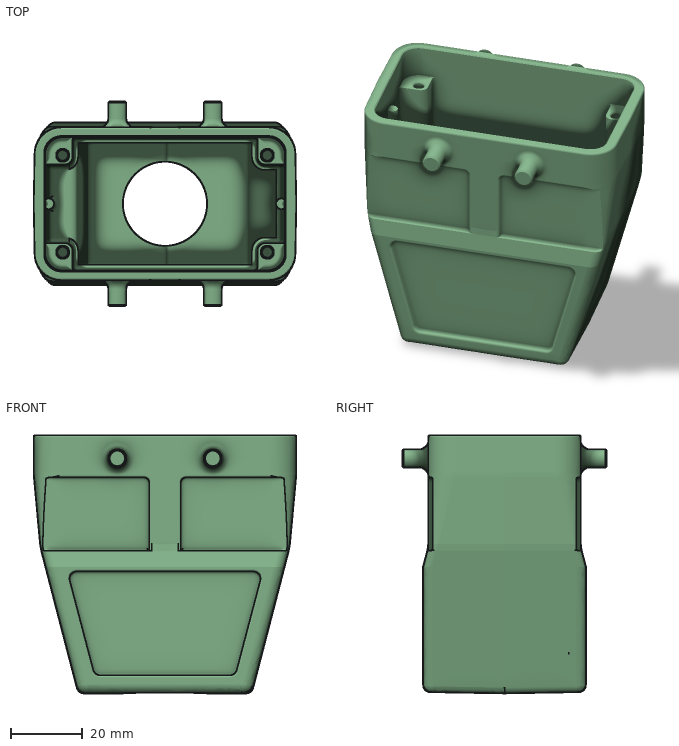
import cadquery as cq
import math

HEIGHT = 72.0
HALF_LENGTH = 36.6
RIM_HALF_WIDTH = 21.25
BODY_HALF_WIDTH = 22.7
SHOULDER_HALF_LENGTH = 34.75
BOTTOM_HALF_LENGTH = 24.15
BAND_Z = 61.0
SHOULDER_Z = 40.8
SLOPE_FOOT_Z = 35.3
RIM_CORNER_R = 7.4
BODY_CORNER_R = 2.6
DRAFT = math.tan(math.radians(1.0))
SHOULDER_BEVEL = 0.9
BAND_BEVEL = 0.5
RIM_EDGE_R = 0.6
BOTTOM_EDGE_R = 2.2

RIM_WALL = 2.7
MOUTH_HALF_LENGTH = 33.4
MOUTH_HALF_WIDTH = 18.6
MOUTH_CORNER_R = RIM_CORNER_R - RIM_WALL
MOUTH_CHAMFER = 0.3
LEDGE_Z = 40.0
LEDGE_HALF_LENGTH = 32.1
FLOOR_HALF_WIDTH = 17.8
FLOOR_CORNER_R = 1.5
LOW_FLOOR_Z = 3.0
HIGH_FLOOR_Z = 6.0
THICK_WALL_TOP_X = -24.6
THICK_WALL_FLOOR_X = -21.4
SLANT_WALL_FLOOR_X = 22.9
FLOOR_STEP_X = 0.45
FLOOR_STEP_RUN = 0.4
FLOOR_FILLET = 1.3
LEDGE_ROUND = 2.0
LEDGE_FILLET = 1.2
BORE_R = 11.7

POST_TOP_Z = 62.8
POST_INNER_X = 25.8
POST_INNER_Y = 11.0
POST_CORNER_R = 2.0
POST_ROOT_R = 0.8
POST_TAPER = 1.0
SCREW_X = 28.5
SCREW_Y = 13.5
SCREW_R = 1.5
SCREW_COUNTERSINK_R = 1.85
SCREW_DEPTH = 15.0
GUIDE_X = 32.4
GUIDE_R = 1.5

PEG_X = 13.3
PEG_Z = 65.5
PEG_R = 2.55
PEG_END_Y = 28.5
PEG_CHAMFER = 0.4
PEG_FOOT_R = 1.45
PEG_CONE_INNER_R = 3.2
PEG_CONE_WIDTH = 0.43
PEG_EMBED = 1.0

PANEL_FLOOR_Y = 20.0
PANEL_INNER_X = 4.4
PANEL_TOP_Z = 60.2
PANEL_BOTTOM_Z = 39.8
PANEL_CORNER_R = 1.5
PANEL_EDGE_R = 0.6
LABEL_DEPTH = 1.4
LABEL_EDGE_R = 0.65
LABEL_TOP_Z = 34.0
LABEL_BOTTOM_Z = 5.1
LABEL_TOP_HALF = 27.2
LABEL_BOTTOM_HALF = 19.6
LABEL_CORNER_R = 2.0
MOUTH_SLAB = 3.0
EDGE_MARGIN = 1.1

SIDES = (-1, 1)
TOLERANCE = 0.01


def rounded_section(z, half_length, half_width, corner_r, draft):
    """Closed wire at height z: rounded rectangle whose X ends peak at Y = 0."""
    tangent_y = half_width - corner_r
    end_x = half_length - draft * tangent_y
    flat_x = end_x - corner_r
    mid = corner_r * math.sqrt(0.5)
    mid_x = flat_x + mid
    mid_y = tangent_y + mid
    return (
        cq.Workplane("XY", origin=(0, 0, z))
        .moveTo(half_length, 0)
        .lineTo(end_x, tangent_y)
        .threePointArc((mid_x, mid_y), (flat_x, half_width))
        .lineTo(-flat_x, half_width)
        .threePointArc((-mid_x, mid_y), (-end_x, tangent_y))
        .lineTo(-half_length, 0)
        .lineTo(-end_x, -tangent_y)
        .threePointArc((-mid_x, -mid_y), (-flat_x, -half_width))
        .lineTo(flat_x, -half_width)
        .threePointArc((mid_x, -mid_y), (end_x, -tangent_y))
        .close()
        .wires()
        .val()
    )


def loft(sections):
    return cq.Workplane("XY").newObject([cq.Solid.makeLoft(sections, True)])


def station_between(start, end, z):
    """Body station (z, half length, half width, corner radius) at height z between two others."""
    share = (z - start[0]) / (end[0] - start[0])
    return tuple(a + share * (b - a) for a, b in zip(start, end))


def outer_body():
    slope = (SHOULDER_HALF_LENGTH - BOTTOM_HALF_LENGTH) / SHOULDER_Z
    foot_half_length = BOTTOM_HALF_LENGTH + slope * SLOPE_FOOT_Z
    bottom = (0, BOTTOM_HALF_LENGTH, BODY_HALF_WIDTH, BODY_CORNER_R)
    foot = (SLOPE_FOOT_Z, foot_half_length, BODY_HALF_WIDTH, BODY_CORNER_R)
    shoulder = (SHOULDER_Z, SHOULDER_HALF_LENGTH, RIM_HALF_WIDTH, BODY_CORNER_R)
    band = (BAND_Z, HALF_LENGTH, RIM_HALF_WIDTH, RIM_CORNER_R)
    rim = (HEIGHT, HALF_LENGTH, RIM_HALF_WIDTH, RIM_CORNER_R)
    stations = [
        bottom,
        foot,
        station_between(foot, shoulder, SHOULDER_Z - SHOULDER_BEVEL),
        station_between(shoulder, band, SHOULDER_Z + SHOULDER_BEVEL),
        station_between(shoulder, band, BAND_Z - BAND_BEVEL),
        station_between(band, rim, BAND_Z + BAND_BEVEL),
        rim,
    ]
    body = loft([rounded_section(*station, DRAFT) for station in stations])
    rise = DRAFT * BODY_HALF_WIDTH
    for side in SIDES:
        wedge = (
            cq.Workplane("YZ", origin=(-HALF_LENGTH, 0, 0))
            .polyline([(0, 0), (side * BODY_HALF_WIDTH, rise), (side * BODY_HALF_WIDTH, 0)])
            .close()
            .extrude(2 * HALF_LENGTH)
        )
        body = body.cut(wedge)
    outline = body.edges().filter(
        lambda edge: edge.Center().z < 2 * rise and abs(edge.Center().y) > BODY_CORNER_R
    )
    body = outline.fillet(BOTTOM_EDGE_R)
    return body.faces(">Z").edges().fillet(RIM_EDGE_R)


def cavity_half_width(z):
    """Half width of the cavity; the long walls lean in evenly from mouth to floor."""
    slope = (MOUTH_HALF_WIDTH - FLOOR_HALF_WIDTH) / (HEIGHT - LOW_FLOOR_Z)
    return FLOOR_HALF_WIDTH + slope * (z - LOW_FLOOR_Z)


def lower_cavity():
    """Space below the ledge: thick -X wall, slanted +X wall and a stepped floor."""
    ledge_half_width = cavity_half_width(LEDGE_Z)
    lean = math.atan2(THICK_WALL_FLOOR_X - THICK_WALL_TOP_X, LEDGE_Z - LOW_FLOOR_Z)
    turn = math.pi / 2 - lean
    round_x = THICK_WALL_TOP_X - LEDGE_ROUND

    def on_round(angle):
        return (
            round_x + LEDGE_ROUND * math.sin(angle),
            LEDGE_Z - LEDGE_ROUND * (1 - math.cos(angle)),
        )

    profile = (
        cq.Workplane("XZ", origin=(0, ledge_half_width, 0))
        .moveTo(round_x, LEDGE_Z)
        .threePointArc(on_round(turn / 2), on_round(turn))
        .lineTo(THICK_WALL_FLOOR_X, LOW_FLOOR_Z)
        .lineTo(FLOOR_STEP_X - FLOOR_STEP_RUN, LOW_FLOOR_Z)
        .lineTo(FLOOR_STEP_X + FLOOR_STEP_RUN, HIGH_FLOOR_Z)
        .lineTo(SLANT_WALL_FLOOR_X, HIGH_FLOOR_Z)
        .lineTo(LEDGE_HALF_LENGTH, LEDGE_Z)
        .close()
        .extrude(2 * ledge_half_width)
    )
    draft_block = (
        cq.Workplane("YZ", origin=(-HALF_LENGTH, 0, 0))
        .polyline([
            (-FLOOR_HALF_WIDTH, LOW_FLOOR_Z),
            (FLOOR_HALF_WIDTH, LOW_FLOOR_Z),
            (ledge_half_width, LEDGE_Z),
            (-ledge_half_width, LEDGE_Z),
        ])
        .close()
        .extrude(2 * HALF_LENGTH)
    )
    space = profile.intersect(draft_block)
    upright = space.edges().filter(
        lambda edge: edge.BoundingBox().zlen > (LEDGE_Z - HIGH_FLOOR_Z) / 2
    )
    space = upright.fillet(FLOOR_CORNER_R)
    return space.edges().filter(
        lambda edge: edge.Center().z < HIGH_FLOOR_Z + 1
        and edge.BoundingBox().zlen < HIGH_FLOOR_Z - LOW_FLOOR_Z + 1
    ).fillet(FLOOR_FILLET)


def upper_cavity():
    levels = [
        (LEDGE_Z, LEDGE_HALF_LENGTH, FLOOR_CORNER_R),
        (BAND_Z, MOUTH_HALF_LENGTH, MOUTH_CORNER_R),
        (HEIGHT, MOUTH_HALF_LENGTH, MOUTH_CORNER_R),
    ]
    return loft([
        rounded_section(z, half_length, cavity_half_width(z), corner_r, 0)
        for z, half_length, corner_r in levels
    ])


def posts():
    """Four corner posts, growing slightly towards the floor."""
    size_x = HALF_LENGTH - POST_INNER_X
    size_y = BODY_HALF_WIDTH - POST_INNER_Y
    post = (
        cq.Workplane("XY", origin=(POST_INNER_X + size_x / 2, POST_INNER_Y + size_y / 2, POST_TOP_Z))
        .sketch()
        .rect(size_x, size_y)
        .vertices()
        .fillet(POST_CORNER_R)
        .finalize()
        .extrude(-POST_TOP_Z, taper=-POST_TAPER)
    )
    half = post.union(post.mirror("YZ"))
    return half.union(half.mirror("XZ"))


def guides():
    centres = [(side * GUIDE_X, 0) for side in SIDES]
    return cq.Workplane("XY").pushPoints(centres).circle(GUIDE_R).extrude(POST_TOP_Z)


def cavity():
    space = upper_cavity().cut(posts()).cut(guides())

    def is_root(edge):
        centre = edge.Center()
        on_end_wall = abs(centre.x) > LEDGE_HALF_LENGTH and POST_CORNER_R < abs(centre.y) < POST_INNER_Y
        on_long_wall = abs(centre.x) < POST_INNER_X and abs(centre.y) > cavity_half_width(LEDGE_Z)
        return edge.BoundingBox().zlen > (BAND_Z - LEDGE_Z) / 2 and (on_end_wall or on_long_wall)

    def is_ledge_foot(edge):
        centre = edge.Center()
        at_ledge = abs(centre.z - LEDGE_Z) < TOLERANCE
        return at_ledge and centre.x < 0 and abs(centre.y) < POST_INNER_Y + POST_CORNER_R

    roots = space.edges().filter(is_root)
    space = roots.fillet(POST_ROOT_R)
    ledge = space.edges().filter(is_ledge_foot)
    space = ledge.fillet(LEDGE_FILLET)
    return space.union(lower_cavity())


def screw_holes():
    centres = [(sx * SCREW_X, sy * SCREW_Y) for sx in SIDES for sy in SIDES]
    depth = SCREW_COUNTERSINK_R - SCREW_R
    top = cq.Workplane("XY", origin=(0, 0, POST_TOP_Z))
    holes = top.pushPoints(centres).circle(SCREW_R).extrude(-SCREW_DEPTH)
    for x, y in centres:
        sink = cq.Solid.makeCone(
            SCREW_R, SCREW_COUNTERSINK_R, depth, pnt=cq.Vector(x, y, POST_TOP_Z - depth)
        )
        holes = holes.union(cq.Workplane("XY").add(sink))
    return holes


def peg(x):
    """Front locking peg with a flared root, revolved about its own axis."""
    root_y = RIM_HALF_WIDTH
    cone_outer_r = PEG_CONE_INNER_R + PEG_CONE_WIDTH
    foot_rise = PEG_FOOT_R * (1 - math.sqrt(0.5))
    foot_r = cone_outer_r + PEG_FOOT_R * math.sqrt(0.5)
    neck_r = (PEG_CONE_INNER_R - PEG_R) / (1 - math.sqrt(0.5))
    cone_start = root_y + foot_rise
    cone_end = cone_start + PEG_CONE_WIDTH
    neck_end = cone_end + neck_r * math.sqrt(0.5)
    half_turn = math.radians(22.5)
    foot_mid = (
        foot_r - PEG_FOOT_R * math.sin(half_turn),
        -root_y - PEG_FOOT_R * (1 - math.cos(half_turn)),
    )
    neck_mid = (
        PEG_R + neck_r * (1 - math.cos(half_turn)),
        neck_r * math.sin(half_turn) - neck_end,
    )
    return (
        cq.Workplane("XY", origin=(x, 0, PEG_Z))
        .moveTo(0, PEG_EMBED - root_y)
        .lineTo(foot_r, PEG_EMBED - root_y)
        .lineTo(foot_r, -root_y)
        .threePointArc(foot_mid, (cone_outer_r, -cone_start))
        .lineTo(PEG_CONE_INNER_R, -cone_end)
        .threePointArc(neck_mid, (PEG_R, -neck_end))
        .lineTo(PEG_R, PEG_CHAMFER - PEG_END_Y)
        .lineTo(PEG_R - PEG_CHAMFER, -PEG_END_Y)
        .lineTo(0, -PEG_END_Y)
        .close()
        .revolve(360, (0, 0, 0), (0, 1, 0))
    )


def rounded_cutter(recess, face_y, x_range, z_range, edge_r):
    """Round the floor and rim edges of a front recess.

    The rim is rounded by joining the recess to a slab that lies in front of the face at
    -face_y, covering x_range by z_range, and filleting the inside edge between the two.
    """
    x_min, x_max = x_range
    z_min, z_max = z_range
    slab = (
        cq.Workplane("XZ", origin=((x_min + x_max) / 2, -face_y, (z_min + z_max) / 2))
        .rect(x_max - x_min, z_max - z_min)
        .extrude(MOUTH_SLAB)
    )

    def inside(edge):
        centre = edge.Center()
        return (
            x_min + TOLERANCE < centre.x < x_max - TOLERANCE
            and z_min + TOLERANCE < centre.z < z_max - TOLERANCE
        )

    floor = recess.faces(">Y").edges().filter(lambda edge: edge.Center().x < x_max - TOLERANCE)
    recess = floor.fillet(edge_r)
    cutter = recess.union(slab)
    rim = cutter.edges().filter(lambda edge: abs(edge.Center().y + face_y) < TOLERANCE and inside(edge))
    return rim.fillet(edge_r)


def upper_panel():
    """Cutter for the front recess on the +X side, open at the corner of the body."""
    open_end_x = HALF_LENGTH + 1
    recess = (
        cq.Workplane("XZ", origin=(0, -PANEL_FLOOR_Y, 0))
        .moveTo(PANEL_INNER_X, PANEL_BOTTOM_Z)
        .lineTo(open_end_x, PANEL_BOTTOM_Z)
        .lineTo(open_end_x, PANEL_TOP_Z)
        .lineTo(PANEL_INNER_X, PANEL_TOP_Z)
        .close()
        .extrude(RIM_HALF_WIDTH - PANEL_FLOOR_Y + MOUTH_SLAB)
    )
    recess = recess.edges("|Y and <X and >Z").fillet(PANEL_CORNER_R)
    x_range = (PANEL_INNER_X - EDGE_MARGIN * PANEL_EDGE_R, open_end_x)
    z_range = (PANEL_BOTTOM_Z, PANEL_TOP_Z + EDGE_MARGIN * PANEL_EDGE_R)
    return rounded_cutter(recess, RIM_HALF_WIDTH, x_range, z_range, PANEL_EDGE_R)


def label_panel():
    """Cutter for the trapezoid recess on the front of the lower body."""
    recess = (
        cq.Workplane("XZ", origin=(0, LABEL_DEPTH - BODY_HALF_WIDTH, 0))
        .moveTo(-LABEL_TOP_HALF, LABEL_TOP_Z)
        .lineTo(LABEL_TOP_HALF, LABEL_TOP_Z)
        .lineTo(LABEL_BOTTOM_HALF, LABEL_BOTTOM_Z)
        .lineTo(-LABEL_BOTTOM_HALF, LABEL_BOTTOM_Z)
        .close()
        .extrude(LABEL_DEPTH + MOUTH_SLAB)
    )
    recess = recess.edges("|Y").fillet(LABEL_CORNER_R)
    margin = EDGE_MARGIN * LABEL_EDGE_R
    x_range = (-LABEL_TOP_HALF - margin, LABEL_TOP_HALF + margin)
    z_range = (LABEL_BOTTOM_Z - margin, LABEL_TOP_Z + margin)
    return rounded_cutter(recess, BODY_HALF_WIDTH, x_range, z_range, LABEL_EDGE_R)


def with_both_faces(shape):
    return shape.union(shape.mirror("XZ"))


def build():
    part = outer_body()
    panel = upper_panel()
    part = part.cut(with_both_faces(panel.union(panel.mirror("YZ"))))
    part = part.cut(with_both_faces(label_panel()))
    for side in SIDES:
        part = part.union(with_both_faces(peg(side * PEG_X)))
    part = part.cut(cavity())
    mouth = part.faces(">Z").edges().filter(
        lambda edge: abs(edge.Center().y) < MOUTH_HALF_WIDTH + TOLERANCE
        and abs(edge.Center().x) < MOUTH_HALF_LENGTH + TOLERANCE
    )
    part = mouth.chamfer(MOUTH_CHAMFER)
    part = part.cut(screw_holes())
    return part.cut(cq.Workplane("XY").circle(BORE_R).extrude(LEDGE_Z))


result = build()